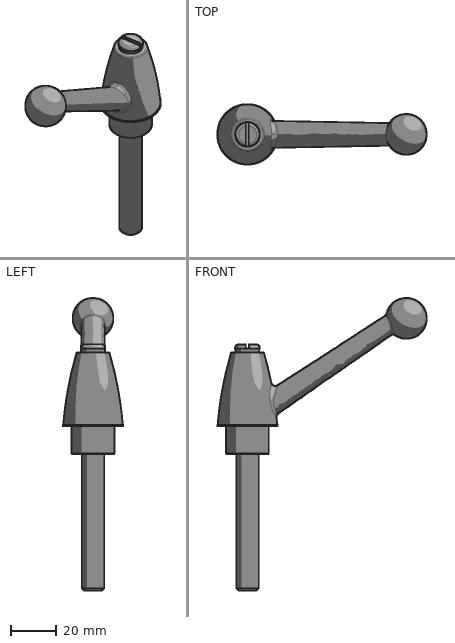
import cadquery as cq
import math

total_height = 129.0

shaft_diameter = 10.0
tip_chamfer = 1.3

collar_diameter = 19.0
collar_bottom = 60.1
collar_chamfer = 0.4

lip_diameter = 26.7
lip_bottom = 72.4
lip_height = 0.8
lip_chamfer = 0.3

hub_base_radius = 13.2
hub_middle_radius = 10.8
hub_middle_height = 90.0
hub_top_radius = 7.2
hub_top = 105.0
hub_rim_fillet = 0.6

neck_diameter = 10.6
head_diameter = 11.0
head_bottom = 106.5
head_top = 108.5
head_fillet = 1.5
slot_width = 1.3
slot_depth = 1.7

ball_diameter = 18.0
ball_x = 69.9

lever_angle = 33.8
lever_start_x = 6.5
lever_start_z = 79.7
lever_end_x = 65.8
lever_start_width = 12.1
lever_start_thickness = 10.8
lever_end_width = 9.9
lever_end_thickness = 8.5
hub_blend_radius = 1.8
ball_blend_radius = 0.8

joint_box = 10.3
hub_joint_x = 12.9
hub_joint_z = 86.4
ball_joint_x = 62.6
ball_joint_z = 116.1

lip_top = lip_bottom + lip_height
ball_radius = ball_diameter / 2
ball_z = total_height - ball_radius
lever_length = (lever_end_x - lever_start_x) / math.cos(math.radians(lever_angle))


def cylinder(diameter, bottom, top):
    return cq.Workplane("XY").workplane(offset=bottom).circle(diameter / 2).extrude(top - bottom)


def make_hub():
    """Slightly convex tapered body, revolved about the spindle axis."""
    body = (
        cq.Workplane("XZ")
        .moveTo(0, hub_top)
        .lineTo(hub_top_radius, hub_top)
        .threePointArc((hub_middle_radius, hub_middle_height), (hub_base_radius, lip_top))
        .lineTo(0, lip_top)
        .close()
        .revolve(360, (0, 0, 0), (0, 1, 0))
    )
    return body.faces(">Z").edges().fillet(hub_rim_fillet)


def make_lever():
    """Straight bar of elliptical section, tapering from the hub to the ball."""
    direction = (math.cos(math.radians(lever_angle)), 0, math.sin(math.radians(lever_angle)))
    root = cq.Plane(origin=(lever_start_x, 0, lever_start_z), xDir=(0, 1, 0), normal=direction)
    return (
        cq.Workplane(root)
        .ellipse(lever_start_width / 2, lever_start_thickness / 2)
        .workplane(offset=lever_length)
        .ellipse(lever_end_width / 2, lever_end_thickness / 2)
        .loft()
    )


def box_around(x, z):
    """Selector for the edges whose centres lie near a point on the lever axis."""
    half = joint_box / 2
    return cq.selectors.BoxSelector((x - half, -half, z - half), (x + half, half, z + half))


def make_handle():
    """Hub, lever and ball joined with blended corners."""
    ball = cq.Workplane("XY").sphere(ball_radius).translate((ball_x, 0, ball_z))
    handle = make_hub().union(make_lever()).union(ball)
    hub_joint = box_around(hub_joint_x, hub_joint_z)
    ball_joint = box_around(ball_joint_x, ball_joint_z)
    handle = handle.edges(hub_joint).fillet(hub_blend_radius)
    return handle.edges(ball_joint).fillet(ball_blend_radius)


def make_screw():
    """Slotted screw head standing on its neck above the hub."""
    neck = cylinder(neck_diameter, lip_top, head_bottom)
    head = cylinder(head_diameter, head_bottom, head_top).faces(">Z").edges().fillet(head_fillet)
    slot = (
        cq.Workplane("XY")
        .workplane(offset=head_top - slot_depth)
        .rect(slot_width, head_diameter)
        .extrude(slot_depth)
    )
    return neck.union(head).cut(slot)


shaft = cylinder(shaft_diameter, 0, lip_top).faces("<Z").edges().chamfer(tip_chamfer)
collar = cylinder(collar_diameter, collar_bottom, lip_bottom).faces("<Z").edges().chamfer(collar_chamfer)
lip = cylinder(lip_diameter, lip_bottom, lip_top).faces("<Z").edges().chamfer(lip_chamfer)

result = make_handle().union(lip).union(collar).union(shaft).union(make_screw())